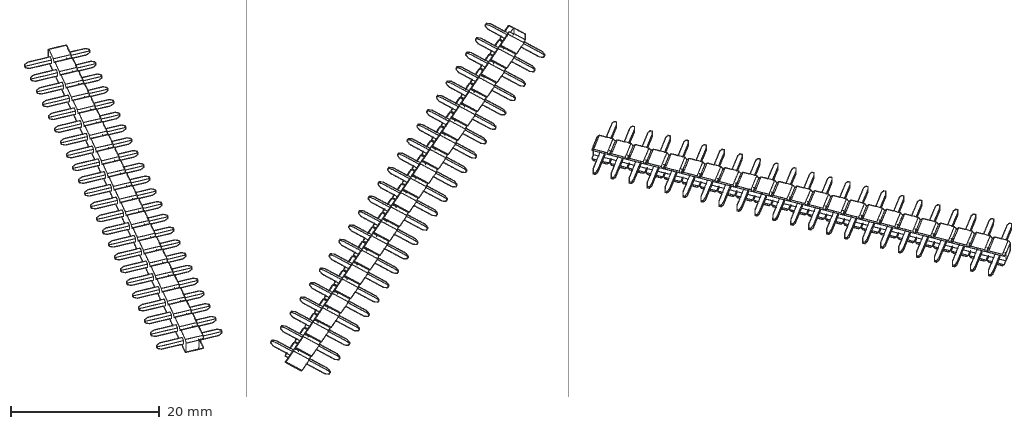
import cadquery as cq

length = 58.4
cell_count = 23
cell_pitch = length / cell_count
height = 2.5
depth = 2.5
notch_half_width = 0.305
notch_depth = 0.4

channel_depth = 0.7
channel_lip = 0.35

pin_total_length = 9.2
pin_front_length = 3.7
pin_width = 0.65
tip_length = 0.5
tip_width = 0.32
pin_offset_x = -0.1

front_y = -depth / 2
pin_front_y = front_y - pin_front_length


def housing_outline():
    """Closed XZ outline of the row: flat cells parted by V-notches, ends bevelled alike."""
    half_height = height / 2
    half_side = half_height - notch_depth
    top = []
    for index in range(cell_count):
        left = -length / 2 + index * cell_pitch
        top.append((left, half_side))
        top.append((left + notch_half_width, half_height))
        top.append((left + cell_pitch - notch_half_width, half_height))
    top.append((length / 2, half_side))
    bottom = [(x, -z) for x, z in reversed(top)]
    return top + bottom


def make_housing():
    """Notched bar with a full-length channel open toward +Y."""
    bar = cq.Workplane("XZ", origin=(0, front_y, 0)).polyline(housing_outline()).close().extrude(-depth)
    channel_center_y = (depth - channel_depth) / 2
    channel_height = height - 2 * channel_lip
    channel = cq.Workplane("XY").box(length, channel_depth, channel_height)
    return bar.cut(channel.translate((0, channel_center_y, 0)))


def make_pin():
    """A square pin along Y at X = 0, narrowing to a small flat at both ends."""
    shank_length = pin_total_length - 2 * tip_length
    shank = cq.Workplane("XY").box(pin_width, shank_length, pin_width)
    for end in ("<Y", ">Y"):
        shank = (
            shank.faces(end)
            .workplane(centerOption="CenterOfMass")
            .rect(pin_width, pin_width)
            .workplane(offset=tip_length)
            .rect(tip_width, tip_width)
            .loft(ruled=True, combine=True)
        )
    return shank.translate((0, pin_front_y + pin_total_length / 2, 0))


pin_shape = make_pin().val()
first_pin_x = (cell_pitch - length) / 2 + pin_offset_x
pin_places = [(first_pin_x + index * cell_pitch, 0) for index in range(cell_count)]
pins = cq.Workplane("XY").pushPoints(pin_places).eachpoint(lambda place: pin_shape.moved(place))

result = make_housing().union(pins)